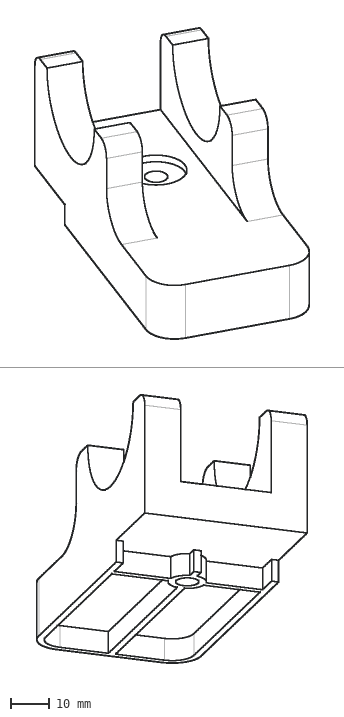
import cadquery as cq

length = 90.0
width = 45.0
height = 40.0

base_top = 16.0
plate_corner_radius = 8.0
step_length = 22.05
step_height = 6.0

cheek_length = 53.0
cheek_thickness = 10.0
cheek_corner_radius = 4.0
cheek_root_radius = 11.0
cradle_radius = 17.5
cradle_x = cheek_length / 2

hole_x = 30.0
hole_diameter = 6.0
counterbore_diameter = 16.0
counterbore_depth = 2.0

wall_thickness = 2.0
rib_thickness = 2.0
boss_diameter = 10.0


def make_base():
    plate = cq.Workplane("XY").box(length, width, base_top, centered=(False, True, False))
    plate = plate.edges("|Z and >X").fillet(plate_corner_radius)
    step = cq.Workplane("XY").box(step_length, width, step_height, centered=(False, True, False))
    return plate.cut(step)


def make_cheeks():
    """Two side cheeks with a shared half-round cradle and a concave root onto the plate."""
    root_end = cheek_length + cheek_root_radius
    root_top = base_top + cheek_root_radius
    profile = (
        cq.Workplane("XZ", origin=(0, width / 2, 0))
        .moveTo(0, step_height)
        .lineTo(0, height - cheek_corner_radius)
        .radiusArc((cheek_corner_radius, height), cheek_corner_radius)
        .lineTo(cradle_x - cradle_radius, height)
        .threePointArc((cradle_x, height - cradle_radius), (cradle_x + cradle_radius, height))
        .lineTo(cheek_length - cheek_corner_radius, height)
        .radiusArc((cheek_length, height - cheek_corner_radius), cheek_corner_radius)
        .lineTo(cheek_length, root_top)
        .radiusArc((root_end, base_top), -cheek_root_radius)
        .lineTo(root_end, step_height)
        .close()
    )
    block = profile.extrude(width)
    channel = cq.Workplane("XY", origin=(0, 0, base_top)).box(
        length, width - 2 * cheek_thickness, height, centered=(False, True, False)
    )
    return block.cut(channel)


def make_underside_pocket():
    """Hollow below the plate: uniform outer wall, crossing ribs and a boss around the hole."""
    pocket_end = length - wall_thickness
    hollow = (
        cq.Workplane("XY")
        .box(pocket_end, width - 2 * wall_thickness, step_height, centered=(False, True, False))
        .edges("|Z and >X")
        .fillet(plate_corner_radius - wall_thickness)
    )
    long_rib = cq.Workplane("XY").box(length, rib_thickness, step_height, centered=(False, True, False))
    cross_rib = (
        cq.Workplane("XY", origin=(hole_x, 0, 0))
        .box(rib_thickness, width, step_height, centered=(True, True, False))
    )
    boss = cq.Workplane("XY").center(hole_x, 0).circle(boss_diameter / 2).extrude(step_height)
    return hollow.cut(long_rib).cut(cross_rib).cut(boss)


def make_screw_hole():
    through = cq.Workplane("XY").center(hole_x, 0).circle(hole_diameter / 2).extrude(base_top)
    counterbore = (
        cq.Workplane("XY", origin=(hole_x, 0, base_top - counterbore_depth))
        .circle(counterbore_diameter / 2)
        .extrude(counterbore_depth)
    )
    return through.union(counterbore)


result = make_base().union(make_cheeks()).cut(make_underside_pocket()).cut(make_screw_hole())